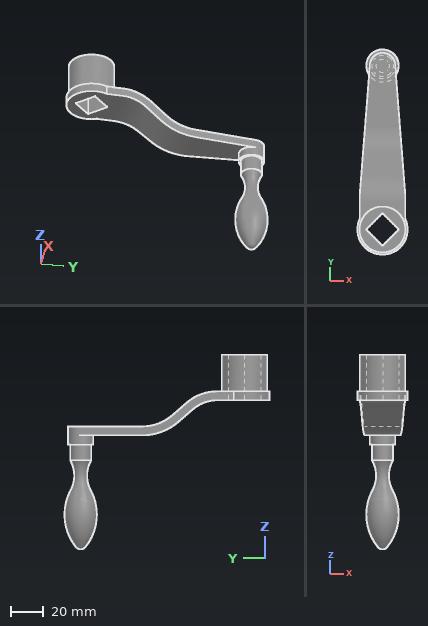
import cadquery as cq
import math


hub_diameter = 28.0
hub_height = 22.4
flange_diameter = 30.8
square_side = 14.0

plate_thickness = 5.6
arm_length = 100.0
arm_width = hub_diameter
arm_end_radius = 15.6 / 2
taper_start = 20.8
arm_drop = 21.4
bend_start = 16.8
bend_radius = 28.0
bend_angle = math.radians(41)

collar_diameter = 2 * arm_end_radius
collar_height = plate_thickness
ferrule_diameter = 13.0
ferrule_height = 9.5
neck_length = 18.9
neck_min_diameter = 8.0
belly_diameter = 20.0
belly_profile_radius = 31.2
total_height = 119.0

flange_top = plate_thickness
hub_top = flange_top + hub_height
lower_arm_top = flange_top - arm_drop
lower_arm_bottom = lower_arm_top - plate_thickness
collar_bottom = lower_arm_bottom - collar_height
ferrule_bottom = collar_bottom - ferrule_height
neck_bottom = ferrule_bottom - neck_length
grip_bottom = hub_top - total_height


def arc_point(center, radius, angle):
    """Point on a YZ circle, with the angle measured from +Z towards +Y."""
    return (center[0] + radius * math.sin(angle), center[1] + radius * math.cos(angle))


def make_arm_profile():
    """Side profile of the arm: two flats joined by two bends and a straight slope, extruded along X."""
    bend_drop = bend_radius * (1 - math.cos(bend_angle))
    slope_run = (arm_drop - 2 * bend_drop) / math.tan(bend_angle)
    bend_end = bend_start + 2 * bend_radius * math.sin(bend_angle) + slope_run

    upper_center = (bend_start, flange_top - bend_radius)
    lower_center = (bend_end, lower_arm_top + bend_radius)
    upper_inner_radius = bend_radius - plate_thickness
    lower_outer_radius = bend_radius + plate_thickness
    half_angle = bend_angle / 2
    arm_tip = arm_length + arm_end_radius

    def upper_bend(radius, angle):
        return arc_point(upper_center, radius, angle)

    def lower_bend(radius, angle):
        return arc_point(lower_center, radius, math.pi + angle)

    return (
        cq.Workplane("YZ")
        .moveTo(0, flange_top)
        .lineTo(bend_start, flange_top)
        .threePointArc(upper_bend(bend_radius, half_angle), upper_bend(bend_radius, bend_angle))
        .lineTo(*lower_bend(bend_radius, bend_angle))
        .threePointArc(lower_bend(bend_radius, half_angle), lower_bend(bend_radius, 0))
        .lineTo(arm_tip, lower_arm_top)
        .lineTo(arm_tip, lower_arm_bottom)
        .lineTo(bend_end, lower_arm_bottom)
        .threePointArc(lower_bend(lower_outer_radius, half_angle), lower_bend(lower_outer_radius, bend_angle))
        .lineTo(*upper_bend(upper_inner_radius, bend_angle))
        .threePointArc(upper_bend(upper_inner_radius, half_angle), upper_bend(upper_inner_radius, 0))
        .lineTo(0, 0)
        .close()
        .extrude(arm_width / 2, both=True)
    )


def make_arm_plan():
    """Plan outline of the arm: parallel sides, then a taper tangent to the round end, extruded along Z."""
    half_width = arm_width / 2
    taper_length = arm_length - taper_start
    taper_angle = math.atan2(half_width, taper_length) - math.asin(
        arm_end_radius / math.hypot(half_width, taper_length)
    )
    tangent_x = arm_end_radius * math.cos(taper_angle)
    tangent_y = arm_length + arm_end_radius * math.sin(taper_angle)
    return (
        cq.Workplane("XY", origin=(0, 0, lower_arm_bottom))
        .moveTo(-half_width, 0)
        .lineTo(half_width, 0)
        .lineTo(half_width, taper_start)
        .lineTo(tangent_x, tangent_y)
        .threePointArc((0, arm_length + arm_end_radius), (-tangent_x, tangent_y))
        .lineTo(-half_width, taper_start)
        .close()
        .extrude(flange_top - lower_arm_bottom)
    )


def make_hub():
    flange = cq.Workplane("XY").circle(flange_diameter / 2).extrude(plate_thickness)
    barrel = cq.Workplane("XY").circle(hub_diameter / 2).extrude(hub_top)
    return flange.union(barrel)


def make_square_hole():
    """Square drive hole with its corners on the X and Y axes."""
    return cq.Workplane("XY").rect(square_side, square_side).extrude(hub_top).rotate((0, 0, 0), (0, 0, 1), 45)


def make_grip():
    """Collar, ferrule, waisted neck and rounded belly, revolved about the grip axis."""
    collar_radius = collar_diameter / 2
    ferrule_radius = ferrule_diameter / 2
    belly_radius = belly_diameter / 2

    center_offset = belly_profile_radius - belly_radius
    half_chord = math.sqrt(belly_profile_radius**2 - (center_offset + ferrule_radius) ** 2)
    belly_level = neck_bottom - half_chord

    tip_reach = belly_level - grip_bottom
    radius_gap = belly_profile_radius - tip_reach
    tip_center_depth = (center_offset**2 - radius_gap**2) / (2 * radius_gap)
    tip_radius = tip_reach - tip_center_depth
    tangent_angle = math.atan2(tip_center_depth, center_offset)
    tangent_point = (
        tip_radius * math.cos(tangent_angle),
        belly_level - tip_center_depth - tip_radius * math.sin(tangent_angle),
    )
    tip_middle_angle = (tangent_angle + math.pi / 2) / 2
    tip_middle = (
        tip_radius * math.cos(tip_middle_angle),
        belly_level - tip_center_depth - tip_radius * math.sin(tip_middle_angle),
    )

    return (
        cq.Workplane("XZ", origin=(0, arm_length, 0))
        .moveTo(0, lower_arm_bottom)
        .lineTo(collar_radius, lower_arm_bottom)
        .lineTo(collar_radius, collar_bottom)
        .lineTo(ferrule_radius, collar_bottom)
        .lineTo(ferrule_radius, ferrule_bottom)
        .threePointArc(
            (neck_min_diameter / 2, (ferrule_bottom + neck_bottom) / 2),
            (ferrule_radius, neck_bottom),
        )
        .threePointArc((belly_radius, belly_level), tangent_point)
        .threePointArc(tip_middle, (0, grip_bottom))
        .close()
        .revolve(360, (0, 0, 0), (0, 1, 0))
    )


arm = make_arm_profile().intersect(make_arm_plan())
result = arm.union(make_hub()).union(make_grip()).cut(make_square_hole())